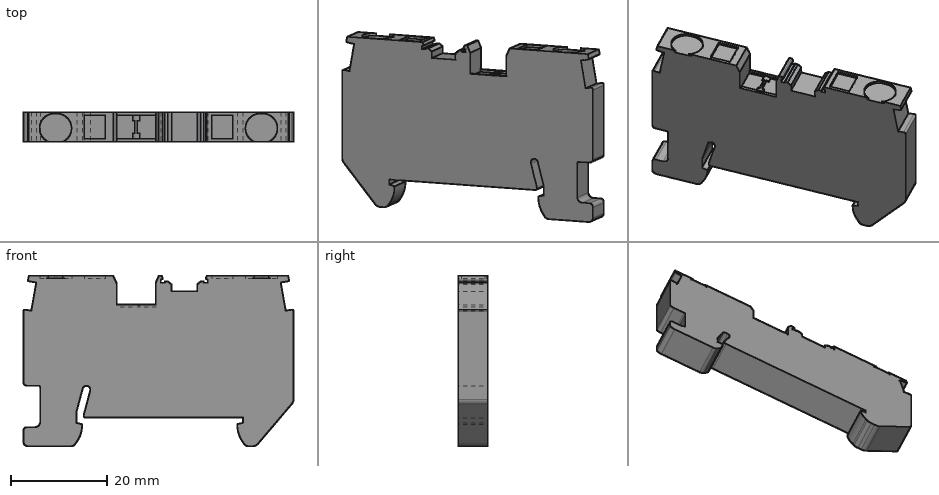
import math

import cadquery as cq

LENGTH = 56.1
THICKNESS = 6.15
HEIGHT = 35.4
HALF_LENGTH = LENGTH / 2
HALF_THICKNESS = THICKNESS / 2

NECK_ANGLE = 10.0
SHOULDER_Z = 28.45
SHOULDER_ROUND = 0.4
NECK_FOOT_X = 26.4
NECK_TOP_Z = 33.95
LIP_X = 27.15
LIP_CORNER_X = 26.9
LIP_ROUND = 0.3

NOTCH_LEFT_X = -8.65
NOTCH_RIGHT_X = -0.6
NOTCH_FLOOR_Z = 29.45
NOTCH_CHAMFER_Z = 33.8
NOTCH_CHAMFER_X = -9.4

SEAT_CENTER_X = 5.35
SEAT_HALF_WIDTH = 2.65
SEAT_FLOOR_Z = 32.2
SEAT_BEVEL_Z = 33.6
SEAT_RIM_Z = 34.2
SEAT_RIM_INNER = 3.4
SEAT_RIM_OUTER = 4.05
HOOK_GROOVE_Z = 33.95
HOOK_GROOVE_HALF_WIDTH = 4.85
HOOK_UNDER_Z = 34.55
HOOK_TIP_HALF_WIDTH = 4.4
HOOK_TIP_Z = 34.75
HOOK_TOP_HALF_WIDTH = 4.7
LATCH_SLOPE_FOOT_Z = 33.9
LATCH_TOP_X = 0.05
LATCH_ROUND = 0.3
HOOK_ROUND = 0.12

RAIL_SEAT_Z = 5.93
FOOT_LEFT_TIP_X = -15.8
FOOT_RIGHT_TIP_X = 16.3
FOOT_TIP_Z = 4.6
FOOT_HOOK_DEPTH = 1.2
FOOT_HOOK_RISE = 0.3
FOOT_CURVE_DROP = 2.1
FOOT_CURVE_ANGLE = 36.0
FOOT_CURVE_RADIUS = 6.2
FOOT_BOTTOM_ROUND = 1.1
FOOT_HEEL_X = 20.2
FOOT_HEEL_ROUND = 1.6
RAMP_TOP_Z = 9.25
RAMP_TOP_ROUND = 1.5
SLOT_ANGLE = 15.0
SLOT_RADIUS = 0.79
SLOT_END_FLAT = 0.002
SLOT_END_X = -14.95
SLOT_END_Z = 11.73
SLOT_MOUTH_ROUND = 0.45

SIDE_RECESS_X = -24.55
SIDE_RECESS_TOP_Z = 12.55
SIDE_RECESS_BOTTOM_Z = 4.0
SIDE_RECESS_TOP_ROUND = 0.3
SIDE_RECESS_BOTTOM_ROUND = 1.1
BODY_CORNER_ROUND = 0.8
TOE_TOP_ROUND = 0.8
TOE_BOTTOM_ROUND = 1.0

RECESS_DEPTH = 0.5
WIRE_ENTRY_X = 21.35
WIRE_ENTRY_Y = -0.27
WIRE_ENTRY_RADIUS = 3.05
WIRE_ENTRY_STRAIGHT = 0.54
WINDOW_X = 13.2
WINDOW_LENGTH = 4.3
WINDOW_WIDTH = 4.9

BAR_WEB_WIDTH = 0.5
BAR_HEIGHT = 0.4
BAR_END_WIDTH = 1.5
BAR_END_LENGTH = 1.15


def unit(start, end):
    """Unit vector from start to end."""
    size = math.dist(start, end)
    return (end[0] - start[0]) / size, (end[1] - start[1]) / size


def rounded_outline(corners):
    """Closed XZ wire through (x, z, radius) corners, each rounded by its own radius."""
    edges = []
    points = []
    count = len(corners)
    for index, (x, z, radius) in enumerate(corners):
        corner = (x, z)
        if radius == 0:
            points.append((corner, corner, corner))
            continue
        back = unit(corner, corners[index - 1][:2])
        ahead = unit(corner, corners[(index + 1) % count][:2])
        half_angle = math.acos(back[0] * ahead[0] + back[1] * ahead[1]) / 2
        setback = radius / math.tan(half_angle)
        to_arc = radius / math.sin(half_angle) - radius
        inward = unit((0, 0), (back[0] + ahead[0], back[1] + ahead[1]))
        points.append((
            (x + setback * back[0], z + setback * back[1]),
            (x + to_arc * inward[0], z + to_arc * inward[1]),
            (x + setback * ahead[0], z + setback * ahead[1]),
        ))
    for index, (start, middle, end) in enumerate(points):
        arc_points = [cq.Vector(px, 0, pz) for px, pz in (start, middle, end)]
        if start != end:
            edges.append(cq.Edge.makeThreePointArc(*arc_points))
        next_x, next_z = points[(index + 1) % count][0]
        edges.append(cq.Edge.makeLine(arc_points[2], cq.Vector(next_x, 0, next_z)))
    return cq.Wire.assembleEdges(edges)


def mirrored(corners, center_x=0.0):
    """The corners reflected about X = center_x, in the same order."""
    return [(2 * center_x - x, z, radius) for x, z, radius in corners]


def end_corners():
    """Left shoulder, neck and lip, from the shoulder up to the top face."""
    slope = math.tan(math.radians(NECK_ANGLE))
    neck_foot_z = SHOULDER_Z - (HALF_LENGTH - NECK_FOOT_X) * slope
    neck_top_x = NECK_FOOT_X - (NECK_TOP_Z - neck_foot_z) * slope
    lip_z = NECK_TOP_Z + (LIP_X - neck_top_x) * slope
    return [
        (-HALF_LENGTH, SHOULDER_Z, SHOULDER_ROUND),
        (-NECK_FOOT_X, neck_foot_z, 0),
        (-neck_top_x, NECK_TOP_Z, 0),
        (-LIP_X, lip_z, LIP_ROUND),
        (-LIP_CORNER_X, HEIGHT, 0),
    ]


def seat_corners():
    """Right half of the marker seat, from its floor up to the underside of the hook."""
    offsets = [
        (SEAT_HALF_WIDTH, SEAT_FLOOR_Z),
        (SEAT_HALF_WIDTH, SEAT_BEVEL_Z),
        (SEAT_RIM_INNER, SEAT_RIM_Z),
        (SEAT_RIM_OUTER, SEAT_RIM_Z),
        (SEAT_RIM_OUTER, HOOK_GROOVE_Z),
        (HOOK_GROOVE_HALF_WIDTH, HOOK_GROOVE_Z),
        (HOOK_GROOVE_HALF_WIDTH, HOOK_UNDER_Z),
    ]
    corners = [(SEAT_CENTER_X + offset, z, 0) for offset, z in offsets]
    corners.append((SEAT_CENTER_X + HOOK_TIP_HALF_WIDTH, HOOK_TIP_Z, HOOK_ROUND))
    return corners


def top_corners():
    """Top outline from the left shoulder to the right shoulder."""
    hook_top_right = SEAT_CENTER_X + HOOK_TOP_HALF_WIDTH
    hook_top_left = SEAT_CENTER_X - HOOK_TOP_HALF_WIDTH
    return [
        *end_corners(),
        (NOTCH_CHAMFER_X, HEIGHT, 0),
        (NOTCH_LEFT_X, NOTCH_CHAMFER_Z, 0),
        (NOTCH_LEFT_X, NOTCH_FLOOR_Z, 0),
        (NOTCH_RIGHT_X, NOTCH_FLOOR_Z, 0),
        (NOTCH_RIGHT_X, LATCH_SLOPE_FOOT_Z, 0),
        (LATCH_TOP_X, HEIGHT, 0),
        (hook_top_left, HEIGHT, LATCH_ROUND),
        *reversed(mirrored(seat_corners(), SEAT_CENTER_X)),
        *seat_corners(),
        (hook_top_right, HEIGHT, 0),
        *reversed(mirrored(end_corners())),
    ]


def foot_corners(tip_x):
    """Hook and curved inner side of a foot, for a foot on the right of the rail."""
    curve_z = FOOT_TIP_Z - FOOT_CURVE_DROP
    bottom_x = tip_x + curve_z * math.tan(math.radians(FOOT_CURVE_ANGLE))
    return [
        (tip_x + FOOT_HOOK_DEPTH, FOOT_TIP_Z + FOOT_HOOK_RISE, 0),
        (tip_x, FOOT_TIP_Z, 0),
        (tip_x, curve_z, FOOT_CURVE_RADIUS),
        (bottom_x, 0, FOOT_BOTTOM_ROUND),
    ]


def slot_corners():
    """Slanted round-ended slot, from its right mouth over its end to its left mouth."""
    angle = math.radians(SLOT_ANGLE)
    along_x, along_z = math.sin(angle), math.cos(angle)
    tip_x = SLOT_END_X + SLOT_RADIUS * along_x
    tip_z = SLOT_END_Z + SLOT_RADIUS * along_z
    right = (tip_x + SLOT_RADIUS * along_z, tip_z - SLOT_RADIUS * along_x)
    left = (tip_x - SLOT_RADIUS * along_z, tip_z + SLOT_RADIUS * along_x)
    end_round = SLOT_RADIUS - SLOT_END_FLAT / 2
    foot_side_x = FOOT_LEFT_TIP_X - FOOT_HOOK_DEPTH
    return [
        (right[0] - (right[1] - RAIL_SEAT_Z) * math.tan(angle), RAIL_SEAT_Z, SLOT_MOUTH_ROUND),
        (*right, end_round),
        (*left, end_round),
        (foot_side_x, left[1] - (left[0] - foot_side_x) / math.tan(angle), 0),
    ]


def bottom_corners():
    """Bottom outline from the right end back to the left end."""
    rail_stop_x = FOOT_RIGHT_TIP_X + FOOT_HOOK_DEPTH
    return [
        (HALF_LENGTH, RAMP_TOP_Z, RAMP_TOP_ROUND),
        (FOOT_HEEL_X, 0, FOOT_HEEL_ROUND),
        *reversed(foot_corners(FOOT_RIGHT_TIP_X)),
        (rail_stop_x, RAIL_SEAT_Z, 0),
        *slot_corners(),
        *mirrored(foot_corners(-FOOT_LEFT_TIP_X)),
        (-HALF_LENGTH, 0, TOE_BOTTOM_ROUND),
        (-HALF_LENGTH, SIDE_RECESS_BOTTOM_Z, TOE_TOP_ROUND),
        (SIDE_RECESS_X, SIDE_RECESS_BOTTOM_Z, SIDE_RECESS_BOTTOM_ROUND),
        (SIDE_RECESS_X, SIDE_RECESS_TOP_Z, SIDE_RECESS_TOP_ROUND),
        (-HALF_LENGTH, SIDE_RECESS_TOP_Z, BODY_CORNER_ROUND),
    ]


def make_body():
    """Profile plate, centred on Y = 0."""
    outline = rounded_outline(top_corners() + bottom_corners())
    plate = cq.Solid.extrudeLinear(outline, [], cq.Vector(0, THICKNESS, 0))
    return cq.Workplane(obj=plate.moved(cq.Location(cq.Vector(0, -HALF_THICKNESS, 0))))


def make_top_recess(side):
    """Wire entry and window recesses on one side (-1 left, +1 right) of the top face."""
    floor = cq.Workplane(origin=(0, 0, HEIGHT - RECESS_DEPTH))
    overall = 2 * WIRE_ENTRY_RADIUS + WIRE_ENTRY_STRAIGHT
    entry = (
        floor.center(side * WIRE_ENTRY_X, WIRE_ENTRY_Y)
        .slot2D(overall, 2 * WIRE_ENTRY_RADIUS)
        .extrude(RECESS_DEPTH)
    )
    window = (
        floor.center(side * WINDOW_X, 0)
        .rect(WINDOW_LENGTH, WINDOW_WIDTH)
        .extrude(RECESS_DEPTH)
    )
    return entry.union(window)


def make_bar(center_x, floor_z):
    """Bar along Y with an arched top, narrowed to a thin web between its two ends."""
    half_width = BAR_END_WIDTH / 2
    bar = (
        cq.Workplane("XZ", origin=(center_x, WINDOW_WIDTH / 2, floor_z))
        .moveTo(-half_width, 0)
        .threePointArc((0, BAR_HEIGHT), (half_width, 0))
        .close()
        .extrude(WINDOW_WIDTH)
    )
    web_length = WINDOW_WIDTH - 2 * BAR_END_LENGTH
    side_cut_width = (BAR_END_WIDTH - BAR_WEB_WIDTH) / 2
    side_cut_x = (BAR_WEB_WIDTH + side_cut_width) / 2
    side_cuts = (
        cq.Workplane(origin=(center_x, 0, floor_z))
        .pushPoints([(-side_cut_x, 0), (side_cut_x, 0)])
        .rect(side_cut_width, web_length)
        .extrude(BAR_HEIGHT)
    )
    return bar.cut(side_cuts)


def make_notch_recess():
    """Recess over the full length of the notch floor, around the raised bar."""
    center_x = (NOTCH_LEFT_X + NOTCH_RIGHT_X) / 2
    floor_z = NOTCH_FLOOR_Z - RECESS_DEPTH
    recess = (
        cq.Workplane(origin=(center_x, 0, floor_z))
        .rect(NOTCH_RIGHT_X - NOTCH_LEFT_X, WINDOW_WIDTH)
        .extrude(RECESS_DEPTH)
    )
    return recess.cut(make_bar(center_x, floor_z))


result = make_body()
for side in (-1, 1):
    result = result.cut(make_top_recess(side))
result = result.cut(make_notch_recess())